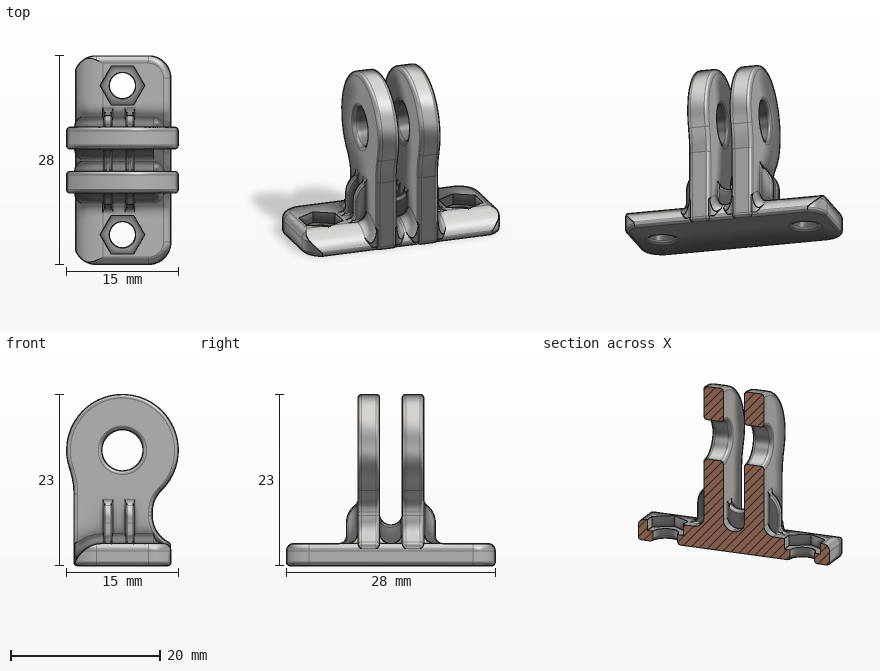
import cadquery as cq
import math

base_width = 13.0
base_length = 28.0
base_height = 3.0
base_corner_radius = 3.0
base_top_fillet = 1.0
bottom_fillet = 0.5
shoulder_radius = 4.0
half_width = base_width / 2
shoulder_z = base_height - shoulder_radius
shoulder_x = -half_width + math.sqrt(shoulder_radius**2 - shoulder_z**2)

screw_offset = 10.0
screw_diameter = 3.5
nut_corner_diameter = 6.0
nut_depth = 1.5

head_radius = 7.5
head_z = 15.5
bore_diameter = 5.5
gap = 3.0
plate_thickness = 2.92
plate_fillet = 0.5
back_radius = 10.0
waist_x = 4.0
waist_radius = 4.0
waist_land = 0.5
plate_toe_inset = 0.05
plate_toe_x = half_width - plate_toe_inset
plate_toe_fillet = 0.6
plate_heel_length = 1.0
plate_inner = gap / 2
plate_outer = plate_inner + plate_thickness

root_radius = 1.45
root_end_x = 4.15
root_sink = 0.004
root_overlap = 0.8
root_back_inset = 0.1
root_back_radius = 1.4

rib_width = 1.05
rib_centers = (-1.94, 1.0)
rib_projection = 1.55
rib_foot_radius = 1.0
rib_shoulder_radius = 3.0
rib_shoulder_z = 5.75
rib_tip_radius = 1.0
rib_edge_fillet = 0.2
rib_flare = 0.19
saddle_z = 5.5
saddle_radius = 1.56
saddle_edge_fillet = 0.35

embed = 0.2


def arc_point(center, radius, angle):
    """Point on a circle; the angle is in degrees."""
    turn = math.radians(angle)
    return (center[0] + radius * math.cos(turn), center[1] + radius * math.sin(turn))


def angle_to(start, end):
    """Direction from one point to another, in degrees."""
    return math.degrees(math.atan2(end[1] - start[1], end[0] - start[0]))


def extrude_along_y(sketch, y_min, y_max):
    """Extrude a closed XZ sketch from y_min to y_max."""
    return sketch.extrude(y_min - y_max).translate((0, y_min, 0))


def shoulder_section():
    """Cross-section of the base, in the XZ plane, with the large -X shoulder."""
    axis = (shoulder_x, shoulder_z)
    start = (-half_width, 0)
    crest = arc_point(axis, shoulder_radius, (angle_to(axis, start) + 90) / 2)
    return (
        cq.Workplane("XZ")
        .moveTo(*start)
        .threePointArc(crest, (shoulder_x, base_height))
        .lineTo(half_width, base_height)
        .lineTo(half_width, 0)
        .close()
    )


def make_base():
    bar = extrude_along_y(shoulder_section(), -base_length / 2, base_length / 2)
    bar = bar.edges("|Y and <X").fillet(bottom_fillet)
    block = (
        cq.Workplane("XY")
        .rect(base_width, base_length)
        .extrude(base_height)
        .edges("|Z")
        .fillet(base_corner_radius)
        .faces(">Z")
        .edges()
        .fillet(base_top_fillet)
        .faces("<Z")
        .edges()
        .fillet(bottom_fillet)
    )
    return bar.intersect(block)


def cut_screw_holes(base):
    """Screw holes with rounded lower rims and hexagonal nut pockets at the top."""
    centers = [(0, -screw_offset), (0, screw_offset)]
    holes = cq.Workplane("XY").pushPoints(centers).circle(screw_diameter / 2).extrude(base_height)
    pockets = (
        cq.Workplane("XY", origin=(0, 0, base_height - nut_depth))
        .pushPoints(centers)
        .polygon(6, nut_corner_diameter)
        .extrude(2 * nut_depth)
    )
    base = base.cut(holes)
    for center_x, center_y in centers:
        rim = cq.selectors.BoxSelector(
            (center_x - screw_diameter, center_y - screw_diameter, -embed),
            (center_x + screw_diameter, center_y + screw_diameter, embed),
        )
        base = base.edges(rim).edges("%CIRCLE").fillet(bottom_fillet)
    return base.cut(pockets)


def plate_sketch():
    """Side outline of a hinge plate, in the XZ plane."""
    head = (0, head_z)
    back_rise = math.sqrt((head_radius + back_radius) ** 2 - (half_width + back_radius) ** 2)
    back = (-half_width - back_radius, head_z - back_rise)
    waist_drop = math.sqrt((head_radius + waist_radius) ** 2 - (waist_x + waist_radius) ** 2)
    upper = (waist_x + waist_radius, head_z - waist_drop)
    lower = (upper[0], upper[1] - waist_land)
    toe_z = lower[1] - math.sqrt(waist_radius**2 - (upper[0] - plate_toe_x) ** 2)
    toe = (plate_toe_x, toe_z)

    back_angle = angle_to(back, head)
    upper_angle = angle_to(upper, head)
    toe_angle = angle_to(lower, toe) + 360
    return (
        cq.Workplane("XZ")
        .moveTo(-half_width, 0)
        .lineTo(-half_width, back[1])
        .threePointArc(
            arc_point(back, back_radius, back_angle / 2), arc_point(back, back_radius, back_angle)
        )
        .threePointArc((0, head_z + head_radius), arc_point(upper, waist_radius, upper_angle))
        .threePointArc(
            arc_point(upper, waist_radius, (upper_angle + 180) / 2), (waist_x, upper[1])
        )
        .lineTo(waist_x, lower[1])
        .threePointArc(arc_point(lower, waist_radius, (180 + toe_angle) / 2), toe)
        .lineTo(plate_toe_x, base_height / 2)
        .lineTo(plate_heel_length - half_width, 0)
        .close()
    )


def make_plate(y_min, y_max):
    plate = extrude_along_y(plate_sketch(), y_min, y_max)
    toe_edge = cq.selectors.BoxSelector(
        (plate_toe_x - embed, y_min, base_height - embed),
        (plate_toe_x + embed, y_max, base_height + embed),
    )
    plate = plate.edges("|Y").edges(toe_edge).fillet(plate_toe_fillet)
    plate = plate.edges("|Y").edges("<Z").edges("<X").fillet(bottom_fillet)
    bore = extrude_along_y(
        cq.Workplane("XZ").center(0, head_z).circle(bore_diameter / 2), y_min, y_max
    )
    plate = plate.cut(bore)
    return plate.faces("<Y or >Y").edges().fillet(plate_fillet)


def root_section(x, face_y, side, overlap):
    """Concave corner section at a plate face, in the YZ plane at the given x."""
    face_y -= side * root_sink
    foot_z = base_height - root_sink
    foot_y = face_y + side * root_radius
    inner_y = face_y - side * overlap
    top_z = foot_z + root_radius
    bottom_z = base_height - embed
    middle = arc_point((foot_y, top_z), root_radius, 270 - side * 45)
    return (
        cq.Workplane("YZ", origin=(x, 0, 0))
        .moveTo(face_y, top_z)
        .threePointArc(middle, (foot_y, foot_z))
        .lineTo(foot_y, bottom_z)
        .lineTo(inner_y, bottom_z)
        .lineTo(inner_y, top_z)
        .close()
    )


def make_root(face_y, side):
    """Blend along one plate face: over the shoulder, along the flat and around the toe end."""
    section = root_section(shoulder_x, face_y, side, root_overlap)
    over_shoulder = section.revolve(90, (0, shoulder_z, 0), (-1, shoulder_z, 0))
    section = root_section(shoulder_x, face_y, side, root_overlap)
    along_flat = section.extrude(root_end_x - shoulder_x)
    keep = (
        cq.Workplane("XY", origin=(0, face_y, bottom_fillet))
        .rect(2 * (half_width - root_back_inset), 2 * root_radius)
        .extrude(base_height + root_radius)
        .edges("|Z and <X")
        .fillet(root_back_radius)
    )
    axis_y = face_y - side * root_sink
    toe = root_section(root_end_x, face_y, side, 0).revolve(360, (axis_y, 0, 0), (axis_y, 1, 0))
    toe = toe.intersect(extrude_along_y(plate_sketch(), face_y - root_radius, face_y + root_radius))
    return over_shoulder.union(along_flat).intersect(keep).union(toe)


def outer_rib_sketch():
    """Profile of the rib on the outside of the +Y plate, in the YZ plane."""
    rib_y = plate_outer + rib_projection
    foot_top = base_height + rib_foot_radius
    shoulder = (rib_y - rib_shoulder_radius, rib_shoulder_z)
    reach = rib_shoulder_radius + rib_tip_radius
    tip_y = plate_outer + rib_tip_radius
    tip = (tip_y, rib_shoulder_z + math.sqrt(reach**2 - (tip_y - shoulder[0]) ** 2))
    lean = angle_to(shoulder, tip)
    root_y = plate_outer - embed
    return (
        cq.Workplane("YZ")
        .moveTo(root_y, tip[1])
        .lineTo(plate_outer, tip[1])
        .threePointArc(
            arc_point(tip, rib_tip_radius, 180 + lean / 2),
            arc_point(tip, rib_tip_radius, 180 + lean),
        )
        .threePointArc(
            arc_point(shoulder, rib_shoulder_radius, lean / 2), (rib_y, rib_shoulder_z)
        )
        .lineTo(rib_y, foot_top)
        .threePointArc(
            arc_point((rib_y + rib_foot_radius, foot_top), rib_foot_radius, 225),
            (rib_y + rib_foot_radius, base_height),
        )
        .lineTo(rib_y + rib_foot_radius, base_height - embed)
        .lineTo(root_y, base_height - embed)
        .close()
    )


def saddle_rib_sketch():
    """Profile of the rib between the plates, in the YZ plane, with a dished top."""
    side_y = plate_inner + embed
    center_z = saddle_z + saddle_radius
    side_z = center_z - math.sqrt(saddle_radius**2 - plate_inner**2)
    return (
        cq.Workplane("YZ")
        .moveTo(-side_y, base_height - embed)
        .lineTo(-side_y, side_z)
        .lineTo(-plate_inner, side_z)
        .threePointArc((0, saddle_z), (plate_inner, side_z))
        .lineTo(side_y, side_z)
        .lineTo(side_y, base_height - embed)
        .close()
    )


def flare_section(workplane, level, depth_sign):
    """Wall strip with concave corners up to the rib sides, centred on the rib."""
    half = rib_width / 2
    wide = half + rib_flare
    inside = level - depth_sign * embed
    top = level + depth_sign * rib_flare
    right = arc_point((wide, top), rib_flare, 180 + depth_sign * 45)
    return (
        workplane.moveTo(-wide, inside)
        .lineTo(-wide, level)
        .threePointArc((-right[0], right[1]), (-half, top))
        .lineTo(half, top)
        .threePointArc(right, (wide, level))
        .lineTo(wide, inside)
        .close()
    )


def extrude_rib(sketch, width):
    return sketch.extrude(width / 2, both=True)


def make_outer_rib():
    """Rib of the +Y plate, centred on x = 0, with rounded edges and flared roots."""
    envelope = extrude_rib(outer_rib_sketch(), rib_width + 2 * rib_flare)
    rib_y = plate_outer + rib_projection
    exposed = cq.selectors.BoxSelector(
        (-rib_width, plate_outer + embed, base_height + embed),
        (rib_width, rib_y + rib_foot_radius, head_z),
    )
    rib = extrude_rib(outer_rib_sketch(), rib_width)
    rib = rib.edges(exposed).edges("not |X").fillet(rib_edge_fillet)
    wall_flare = flare_section(cq.Workplane("XY"), plate_outer, 1).extrude(head_z)
    floor_sketch = flare_section(cq.Workplane("XZ"), base_height, 1)
    floor_flare = extrude_along_y(floor_sketch, plate_inner, screw_offset)
    return rib.union(wall_flare.intersect(envelope)).union(floor_flare.intersect(envelope))


def make_saddle_rib():
    """Rib between the plates, centred on x = 0, with a rounded top and flared sides."""
    envelope = extrude_rib(saddle_rib_sketch(), rib_width + 2 * rib_flare)
    rib = extrude_rib(saddle_rib_sketch(), rib_width)
    dish = cq.selectors.BoxSelector(
        (-rib_width, -embed, saddle_z - embed), (rib_width, embed, saddle_z + saddle_radius)
    )
    rib = rib.edges(dish).edges("not |X").fillet(saddle_edge_fillet)
    for side in (-1, 1):
        flare = flare_section(cq.Workplane("XY"), side * plate_inner, -side).extrude(head_z)
        rib = rib.union(flare.intersect(envelope))
    return rib


result = cut_screw_holes(make_base())
result = result.union(make_plate(plate_inner, plate_outer))
result = result.union(make_plate(-plate_outer, -plate_inner))
for side in (-1, 1):
    result = result.union(make_root(side * plate_inner, -side))
    result = result.union(make_root(side * plate_outer, side))

outer_rib = make_outer_rib()
saddle_rib = make_saddle_rib()
for rib_x in rib_centers:
    result = result.union(outer_rib.translate((rib_x, 0, 0)))
    result = result.union(outer_rib.mirror("XZ").translate((rib_x, 0, 0)))
    result = result.union(saddle_rib.translate((rib_x, 0, 0)))